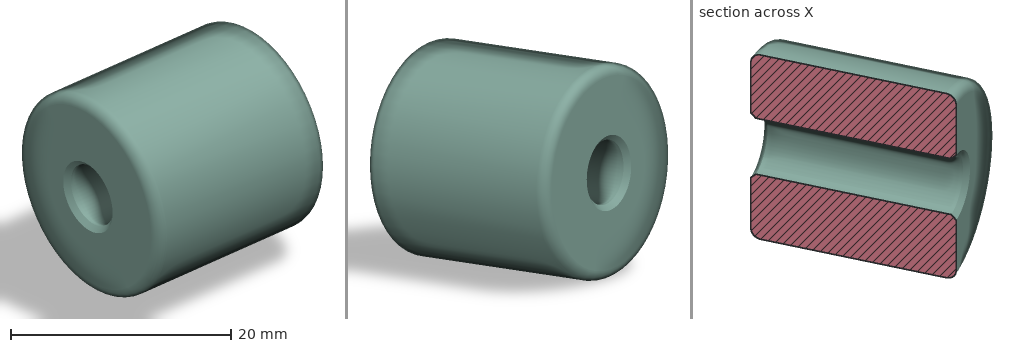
import cadquery as cq

outer_diameter = 20.0
length = 20.0
bore_diameter = 6.0
rim_fillet = 1.0
bore_chamfer = 0.5


def make_roller_body():
    """Cylinder along Y, centred on the origin, with rounded outer rims."""
    end_plane = cq.Workplane("XZ", origin=(0, length / 2, 0))
    body = end_plane.circle(outer_diameter / 2).extrude(length)
    return body.faces("<Y or >Y").edges().fillet(rim_fillet)


def make_bore():
    """Through bore cutter that flares at both ends into 45 degree chamfers."""
    bore_radius = bore_diameter / 2
    mouth_radius = bore_radius + bore_chamfer
    end = length / 2
    chamfer_start = end - bore_chamfer
    half_section = (
        cq.Workplane("XY")
        .moveTo(0, -end)
        .lineTo(mouth_radius, -end)
        .lineTo(bore_radius, -chamfer_start)
        .lineTo(bore_radius, chamfer_start)
        .lineTo(mouth_radius, end)
        .lineTo(0, end)
        .close()
    )
    return half_section.revolve(360, (0, 0, 0), (0, 1, 0))


result = make_roller_body().cut(make_bore())